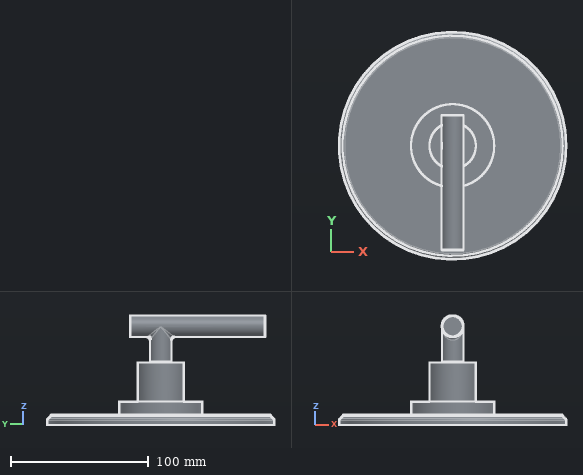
import cadquery as cq

plate_radius = 82.5
plate_height = 8.0
wall_height = 3.3
shoulder_radius = 81.5
shoulder_height = 5.0
lip_radius = 79.9
lip_height = 6.8
face_radius = 78.5

collar_radius = 30.2
collar_top = 17.2
hub_radius = 16.8
hub_top = 45.5

total_height = 79.7
bar_radius = 8.0
bar_back = 22.5
bar_front = -76.0
bar_end_chamfer = 0.5
bar_axis_height = total_height - bar_radius
joint_clearance = 0.03
stem_radius = bar_radius - joint_clearance
stem_foot_chamfer = 0.5
joint_fillet = 2.1


def tangent_arc_radius(along, across):
    """Radius of an arc that leaves its tangent line by `across` over a run of `along`."""
    return (along**2 + across**2) / (2 * across)


def make_plate():
    """Round plate with a stepped rim, revolved about Z."""
    shoulder_round = tangent_arc_radius(shoulder_height - wall_height, plate_radius - shoulder_radius)
    lip_round = tangent_arc_radius(lip_radius - face_radius, plate_height - lip_height)
    profile = (
        cq.Workplane("XZ")
        .lineTo(plate_radius, 0)
        .lineTo(plate_radius, wall_height)
        .radiusArc((shoulder_radius, shoulder_height), -shoulder_round)
        .lineTo(lip_radius, lip_height)
        .radiusArc((face_radius, plate_height), -lip_round)
        .lineTo(0, plate_height)
        .close()
    )
    return profile.revolve(360, (0, 0, 0), (0, 1, 0))


def upright(radius, bottom, top):
    """Cylinder on the Z axis between two heights."""
    return cq.Workplane("XY").workplane(offset=bottom).circle(radius).extrude(top - bottom)


def make_lever():
    """Bar on its stem, blended where they meet."""
    stem = upright(stem_radius, hub_top, bar_axis_height)
    stem = stem.faces("<Z").chamfer(stem_foot_chamfer)
    bar = (
        cq.Workplane("XZ", origin=(0, bar_back, bar_axis_height))
        .circle(bar_radius)
        .extrude(bar_back - bar_front)
        .faces("<Y or >Y")
        .chamfer(bar_end_chamfer)
    )
    joint_zone = cq.selectors.BoxSelector(
        (-bar_radius, -bar_radius, bar_axis_height - bar_radius),
        (bar_radius, bar_radius, bar_axis_height),
    )
    return bar.union(stem).edges(joint_zone).fillet(joint_fillet)


collar = upright(collar_radius, plate_height, collar_top)
hub = upright(hub_radius, collar_top, hub_top)
result = make_plate().union(collar).union(hub).union(make_lever())